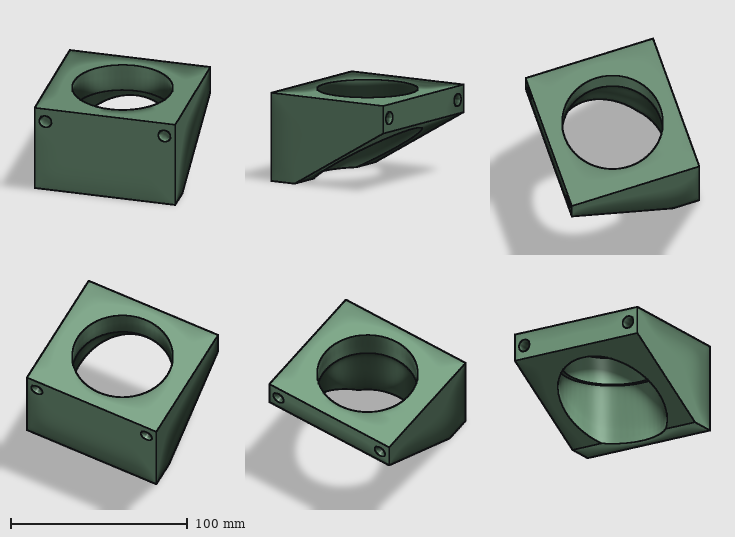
import cadquery as cq

width = 82.55
depth = 76.2
height = 50.8

foot_depth = 15.875
back_edge_height = 15.875

bore_diameter = 57.15
bore_depth = 15.875
counterbore_diameter = 61.9125

mount_hole_diameter = 7.14
mount_hole_side_inset = 6.35
mount_hole_top_inset = 7.94


def make_wedge_block():
    """Block with a sloped underside, centred in X and Y, standing on Z = 0."""
    front = -depth / 2
    back = depth / 2
    side_profile = [
        (front, 0),
        (front + foot_depth, 0),
        (back, height - back_edge_height),
        (back, height),
        (front, height),
    ]
    return cq.Workplane("YZ").polyline(side_profile).close().extrude(width / 2, both=True)


def make_stepped_bore():
    """Bore from the top face, meeting a wider counterbore that opens through the underside."""
    counterbore_height = height - bore_depth
    bore = cq.Workplane("XY").circle(bore_diameter / 2).extrude(height)
    counterbore = cq.Workplane("XY").circle(counterbore_diameter / 2).extrude(counterbore_height)
    return bore.union(counterbore)


def make_mount_holes():
    """Pair of cylinders along Y, one near each upper side edge."""
    hole_x = width / 2 - mount_hole_side_inset
    hole_z = height - mount_hole_top_inset
    return (
        cq.Workplane("XZ")
        .pushPoints([(-hole_x, hole_z), (hole_x, hole_z)])
        .circle(mount_hole_diameter / 2)
        .extrude(depth / 2, both=True)
    )


result = make_wedge_block().cut(make_stepped_bore()).cut(make_mount_holes())